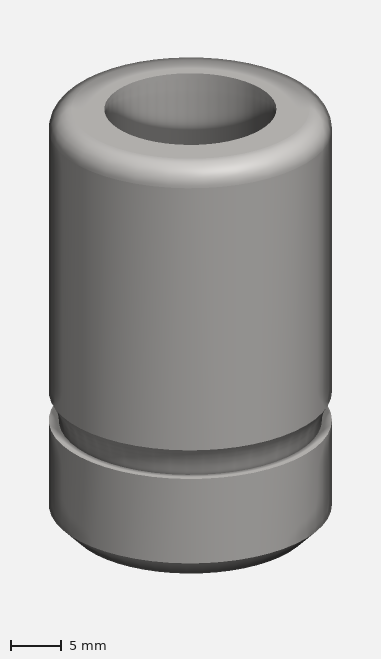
import cadquery as cq
import math

height = 45.0
outer_radius = 14.0
bore_radius = 8.5
bottom_chamfer = 2.02
top_fillet = 2.2

groove_bottom = 11.2
groove_top = 14.3
groove_depth = 1.0

groove_height = groove_top - groove_bottom
flare_radius = (groove_depth**2 + groove_height**2) / (2 * groove_depth)
groove_radius = outer_radius - groove_depth
half_angle = math.asin(groove_height / flare_radius) / 2
flare_middle = (
    groove_radius + flare_radius * (1 - math.cos(half_angle)),
    groove_bottom + flare_radius * math.sin(half_angle),
)


def make_body():
    """Solid cylinder with a chamfered bottom rim and a rounded top rim."""
    body = cq.Workplane("XY").circle(outer_radius).extrude(height)
    return body.faces("<Z").edges().chamfer(bottom_chamfer).faces(">Z").edges().fillet(top_fillet)


def make_groove():
    """Ring removed around the body, with its curved wall above the ledge."""
    return (
        cq.Workplane("XZ")
        .moveTo(outer_radius, groove_bottom)
        .lineTo(groove_radius, groove_bottom)
        .threePointArc(flare_middle, (outer_radius, groove_top))
        .close()
        .revolve(360, (0, 0), (0, 1))
    )


def make_bore():
    """Plain through bore."""
    return cq.Workplane("XY").circle(bore_radius).extrude(height)


result = make_body().cut(make_groove()).cut(make_bore())